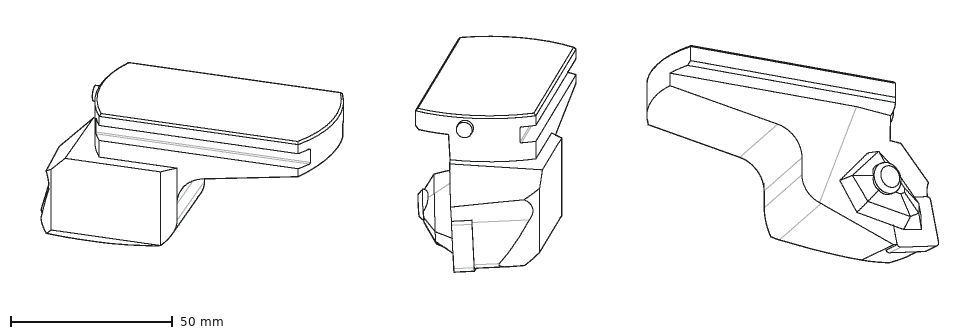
import cadquery as cq
import math


plate_radius = 38.5
plate_back_y = 16.5
plate_front_y = -21.0
plate_thickness = 6.65
plate_top_chamfer = 0.7
plate_lower_chamfer = 1.2
wall_y = 7.5

slot_top_z = -3.85
slot_width = 5.2
slot_floor_y = -16.5
slot_corner_radius = 0.4

pin_diameter = 5.0
pin_z = -4.0
pin_end_x = -40.4
pin_depth = 10.0

block_top_z = -14.8
block_front_y = -25.0
block_right_x = -7.05
block_chamfer = 4.1
shoulder_x = -42.1
block_left_x = -62.0
block_bottom_z = -52.0
underside_angle = 15.0
underside_radius = 8.8
underside_start_z = -32.9
nose_radius = 60.0
nose_center_y = 11.6
nose_edge_x = -46.6
belly_radius = 35.0
belly_edge_z = -40.3

arm_angle = 10.0
arm_tip_z = -10.75
arm_radius = 10.0

insert_size = 15.875
insert_thickness = 6.35
insert_corner_radius = 1.2
insert_tip = (-57.1, 0.0, -45.0)
insert_angle = 15.0
rake_slope_x = 0.165
rake_slope_z = 0.06
flank_corner_radius = 1.2
flank_setback = 0.85

groove_radius = 7.5
groove_x = -6.6
groove_y = -16.05

clamp_root_depth = 3.0
clamp_ridge_height = 5.6
clamp_top_height = 9.3
clamp_foot = [
    (4.8, -10.2), (5.6, -5.4), (12.3, -5.6), (28.8, -11.6),
    (33.0, -22.0), (20.4, -30.5), (20.4, -26.8),
]
clamp_ridge = [
    (8.9, -12.3), (9.6, -9.2), (13.0, -8.2), (28.0, -13.5),
    (32.0, -22.0), (20.4, -29.4), (15.5, -23.6),
]
screw_x = 21.7
screw_y = -19.8
screw_head_diameter = 10.0
screw_head_top = 10.9
screw_head_chamfer = 1.5
clamp_top_scale = 0.45

stock = 120.0

angle = math.radians(insert_angle)
edge_x = math.cos(angle)
edge_z = -math.sin(angle)
edge_direction = cq.Vector(edge_x, rake_slope_x * edge_x + rake_slope_z * edge_z, edge_z)
rake_normal = cq.Vector(-rake_slope_x, 1, -rake_slope_z)
rake_plane = cq.Plane(origin=insert_tip, xDir=edge_direction, normal=rake_normal)


def box(x, y, z):
    """Box from its lower and upper limits along each axis."""
    return cq.Workplane("XY").box(
        x[1] - x[0], y[1] - y[0], z[1] - z[0], centered=False
    ).translate((x[0], y[0], z[0]))


def side_prism(outline, y_low, y_high):
    """Closed XZ outline extruded between two Y positions."""
    return outline.close().extrude(y_high - y_low).translate((0, y_high, 0))


def make_plate():
    disc = cq.Workplane("XY").circle(plate_radius).extrude(-plate_thickness)
    band = box((-stock, stock), (plate_front_y, plate_back_y), (-stock, 0))
    plate = disc.intersect(band).faces(">Z").chamfer(plate_top_chamfer)
    return plate.faces(">Y").edges("<Z").chamfer(plate_lower_chamfer)


def make_neck():
    slope = math.radians(arm_angle)
    bend_x = block_right_x + arm_radius * (1 - math.sin(slope))
    bend_z = arm_tip_z - (plate_radius - bend_x) * math.tan(slope)
    bend_start_z = bend_z - arm_radius * math.cos(slope)
    mid = (math.pi / 2 - slope) / 2
    middle = (
        block_right_x + arm_radius * (1 - math.cos(mid)),
        bend_start_z + arm_radius * math.sin(mid),
    )
    top_z = -plate_top_chamfer
    outline = (
        cq.Workplane("XZ").moveTo(-plate_radius, top_z).lineTo(plate_radius, top_z)
        .lineTo(plate_radius, arm_tip_z).lineTo(bend_x, bend_z)
        .threePointArc(middle, (block_right_x, bend_start_z))
        .lineTo(-plate_radius, bend_start_z)
    )
    arm = side_prism(outline, plate_front_y, wall_y)
    disc = cq.Workplane("XY").circle(plate_radius).extrude(-stock)
    block_region = box((-stock, block_right_x), (-stock, stock), (-stock, block_top_z))
    return arm.intersect(disc).cut(block_region)


def make_slot():
    slot = box(
        (-stock, stock), (-stock, slot_floor_y), (slot_top_z - slot_width, slot_top_z)
    )
    return slot.faces(">Y").edges("|X").fillet(slot_corner_radius)


def make_block():
    slope = math.radians(underside_angle)
    center_x = block_right_x - underside_radius
    end_x = center_x + underside_radius * math.sin(slope)
    end_z = underside_start_z - underside_radius * math.cos(slope)
    mid = (math.pi / 2 - slope) / 2
    middle = (
        center_x + underside_radius * math.cos(mid),
        underside_start_z - underside_radius * math.sin(mid),
    )
    low_x = end_x - (end_z - block_bottom_z) / math.tan(slope)
    shoulder_z = block_top_z - (shoulder_x - block_left_x)
    outline = (
        cq.Workplane("XZ").moveTo(shoulder_x, block_top_z).lineTo(block_right_x, block_top_z)
        .lineTo(block_right_x, underside_start_z).threePointArc(middle, (end_x, end_z))
        .lineTo(low_x, block_bottom_z).lineTo(block_left_x, block_bottom_z)
        .lineTo(block_left_x, shoulder_z)
    )
    block = side_prism(outline, block_front_y, wall_y)
    block = block.intersect(make_corner_chamfer()).intersect(make_nose_rounding())
    return block.intersect(make_belly_rounding())


def make_corner_chamfer():
    plan = box((-stock, block_right_x), (block_front_y, stock), (-stock, 0))
    return plan.edges("|Z and >X and <Y").chamfer(block_chamfer)


def make_nose_rounding():
    center_x = nose_edge_x + math.sqrt(nose_radius**2 - (block_front_y - nose_center_y) ** 2)
    return cq.Workplane("XY").center(center_x, nose_center_y).circle(nose_radius).extrude(-stock)


def make_belly_rounding():
    center_z = belly_edge_z + math.sqrt(belly_radius**2 - block_front_y**2)
    return cq.Workplane("YZ").center(0, center_z).circle(belly_radius).extrude(stock, both=True)


def make_rake_cut():
    """Everything beyond the rake face, below the plate."""
    beyond = cq.Workplane(rake_plane).rect(2 * stock, 2 * stock).extrude(stock)
    return beyond.intersect(box((-stock, stock), (-stock, stock), (-stock, -plate_thickness)))


def make_flank_region():
    """Space inside the two holder flanks; above the groove the shoulder is left whole."""
    region = (
        cq.Workplane(rake_plane).moveTo(flank_setback, -flank_setback)
        .lineTo(stock, -flank_setback).lineTo(stock, -stock).lineTo(-stock, -stock)
        .lineTo(-stock, groove_y).lineTo(flank_setback, groove_y)
        .close().extrude(stock, both=True)
    )
    tip_edge = cq.selectors.NearestToPointSelector(insert_tip)
    return region.edges(tip_edge).fillet(flank_corner_radius)


def make_groove():
    center = cq.Workplane(rake_plane).center(groove_x, groove_y)
    return center.circle(groove_radius).extrude(stock, both=True)


def make_insert():
    half = insert_size / 2
    body = cq.Workplane(rake_plane).center(half, -half).rect(insert_size, insert_size)
    body = body.extrude(-insert_thickness)
    upright = cq.selectors.ParallelDirSelector(rake_normal)
    return body.edges(upright).fillet(insert_corner_radius)


def make_clamp():
    """Clamp finger with sloping sides, rising to a round screw head."""
    top = [
        (screw_x + clamp_top_scale * (x - screw_x), screw_y + clamp_top_scale * (y - screw_y))
        for x, y in clamp_ridge
    ]
    root = cq.Workplane(rake_plane).polyline(clamp_foot).close().extrude(-clamp_root_depth)
    rise = clamp_top_height - clamp_ridge_height
    finger = (
        cq.Workplane(rake_plane).polyline(clamp_foot).close()
        .workplane(offset=clamp_ridge_height).polyline(clamp_ridge).close().loft(ruled=True)
    )
    crown = (
        cq.Workplane(rake_plane).workplane(offset=clamp_ridge_height).polyline(clamp_ridge).close()
        .workplane(offset=rise).polyline(top).close().loft(ruled=True)
    )
    head = cq.Workplane(rake_plane).center(screw_x, screw_y).circle(screw_head_diameter / 2)
    head_face = cq.selectors.DirectionMinMaxSelector(rake_normal, True)
    head = head.extrude(screw_head_top).faces(head_face).chamfer(screw_head_chamfer)
    return root.union(finger).union(crown).union(head)


def make_pin():
    pin = cq.Workplane("YZ").center(0, pin_z).circle(pin_diameter / 2).extrude(pin_depth)
    return pin.translate((pin_end_x, 0, 0))


insert = make_insert()
block = make_block().intersect(make_flank_region()).cut(make_groove())
holder = make_neck().union(block).cut(make_rake_cut()).union(make_plate())
holder = holder.cut(make_slot()).union(make_pin()).union(make_clamp()).cut(insert)
result = cq.Compound.makeCompound([holder.solids().val(), insert.solids().val()])